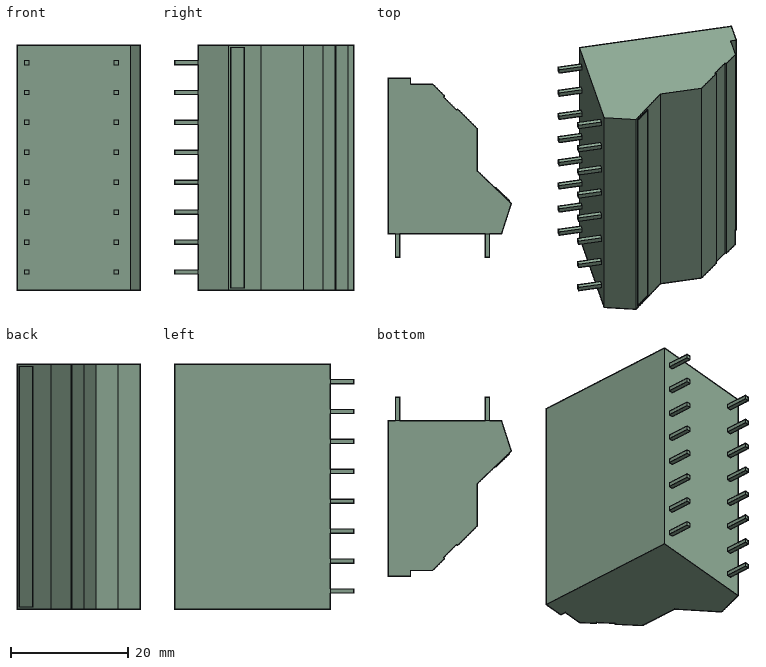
import cadquery as cq
import math

length = 41.75
depth = 21.0
height = 26.5
lip_width = 3.85
lip_height = 1.0
shoulder_x = 7.6
wall_x = 15.2
wall_bottom_y = 10.73
nose_y = 5.18
base_depth = 19.33

shoulder_y = height - lip_height
wall_top_y = shoulder_y - (wall_x - shoulder_x)

groove_start_x = 9.65
groove_end_x = 11.85
groove_depth = 0.25

strip_start_x = 18.3
strip_end_x = 20.6
strip_height = 0.13
strip_end_inset = 0.4

pin_size = 0.75
pin_length = 4.0
pin_count = 8
pin_pitch = 5.1
row_spacing = 15.28
first_row_x = 1.63
top_pin_inset = 2.95


def make_housing():
    """Extrude the stepped terminal block profile along Z."""
    profile = [
        (0, 0),
        (base_depth, 0),
        (depth, nose_y),
        (wall_x, wall_bottom_y),
        (wall_x, wall_top_y),
        (shoulder_x, shoulder_y),
        (lip_width, shoulder_y),
        (lip_width, height),
        (0, height),
    ]
    return cq.Workplane("XY").polyline(profile).close().extrude(length)


def slope_band(slope_start, slope_end, start_x, end_x, offset):
    """Sketch the band between a slope and its parallel at the given outward offset."""
    run = slope_end[0] - slope_start[0]
    rise = slope_end[1] - slope_start[1]
    slope_length = math.hypot(run, rise)
    shift_x = -rise / slope_length * offset
    shift_y = run / slope_length * offset
    start_y = slope_start[1] + (start_x - slope_start[0]) * rise / run
    end_y = slope_start[1] + (end_x - slope_start[0]) * rise / run
    corners = [
        (start_x, start_y),
        (end_x, end_y),
        (end_x + shift_x, end_y + shift_y),
        (start_x + shift_x, start_y + shift_y),
    ]
    return cq.Workplane("XY").polyline(corners).close()


def make_groove():
    """Make the cutter for the groove in the upper slope."""
    shoulder = (shoulder_x, shoulder_y)
    wall_top = (wall_x, wall_top_y)
    band = slope_band(shoulder, wall_top, groove_start_x, groove_end_x, -groove_depth)
    return band.extrude(length)


def make_strip():
    """Make the raised strip on the lower slope."""
    wall_bottom = (wall_x, wall_bottom_y)
    nose = (depth, nose_y)
    band = slope_band(wall_bottom, nose, strip_start_x, strip_end_x, strip_height)
    return band.extrude(length - 2 * strip_end_inset).translate((0, 0, strip_end_inset))


def make_pin(x, z):
    """Make one square pin that hangs from the mounting face."""
    return (
        cq.Workplane("XY")
        .box(pin_size, pin_length, pin_size)
        .translate((x, -pin_length / 2, z))
    )


result = make_housing().cut(make_groove()).union(make_strip())
for row_x in (first_row_x, first_row_x + row_spacing):
    for index in range(pin_count):
        pin_z = length - top_pin_inset - index * pin_pitch
        result = result.union(make_pin(row_x, pin_z))